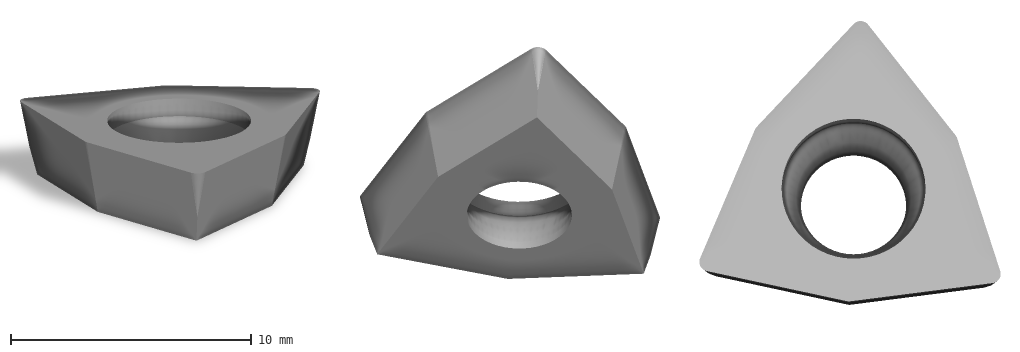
import cadquery as cq
import math

overall_width = 12.38
thickness = 3.18
corner_radius = 0.4
clearance_angle = 11.0
point_angle = 80.0
point_count = 3
first_point_direction = 100.0

bore_diameter = 4.38
mouth_diameter = 5.99
mouth_depth = 0.77
seat_radius = 3.02

point_half_angle = math.radians(point_angle / 2)
right_point_direction = math.radians(first_point_direction - 120)
left_point_direction = math.radians(first_point_direction + 120)
point_span = math.cos(right_point_direction) - math.cos(left_point_direction)
arc_center_reach = (overall_width - 2 * corner_radius) / point_span
inscribed_radius = arc_center_reach * math.sin(point_half_angle) + corner_radius

point_turn = math.radians(90 - point_angle / 2)
blunt_turn = math.radians(180 / point_count) - point_turn


def polar(radius, angle):
    return cq.Vector(radius * math.cos(angle), radius * math.sin(angle), 0)


def corners():
    """Direction and half turn of all six corners, counterclockwise."""
    found = []
    for index in range(point_count):
        direction = math.radians(first_point_direction + index * 360 / point_count)
        found.append((direction, point_turn))
        found.append((direction + math.pi / point_count, blunt_turn))
    return found


def insert_body():
    """Rounded outline tapering inward from the top; its roundings become cones that run out to sharp edges."""
    outline = cq.Workplane("XY", origin=(0, 0, thickness))
    for index, (direction, turn) in enumerate(corners()):
        center = polar((inscribed_radius - corner_radius) / math.cos(turn), direction)
        start = center + polar(corner_radius, direction - turn)
        middle = center + polar(corner_radius, direction)
        end = center + polar(corner_radius, direction + turn)
        if index == 0:
            outline = outline.moveTo(start.x, start.y)
        else:
            outline = outline.lineTo(start.x, start.y)
        outline = outline.threePointArc((middle.x, middle.y), (end.x, end.y))
    return outline.close().extrude(-thickness, taper=clearance_angle)


def hole():
    """Straight mouth, rounded screw seat, then a straight bore."""
    bore_radius = bore_diameter / 2
    mouth_radius = mouth_diameter / 2
    seat_top = thickness - mouth_depth
    step = mouth_radius - bore_radius
    seat_bottom = seat_top - math.sqrt(seat_radius**2 - (seat_radius - step) ** 2)
    seat_angle = math.acos((seat_radius - step) / seat_radius) / 2
    seat_middle = (
        bore_radius + seat_radius * (1 - math.cos(seat_angle)),
        seat_bottom + seat_radius * math.sin(seat_angle),
    )
    profile = (
        cq.Workplane("XZ")
        .lineTo(bore_radius, 0)
        .lineTo(bore_radius, seat_bottom)
        .threePointArc(seat_middle, (mouth_radius, seat_top))
        .lineTo(mouth_radius, thickness)
        .lineTo(0, thickness)
        .close()
    )
    return profile.revolve(360, (0, 0, 0), (0, 1, 0))


result = insert_body().cut(hole())